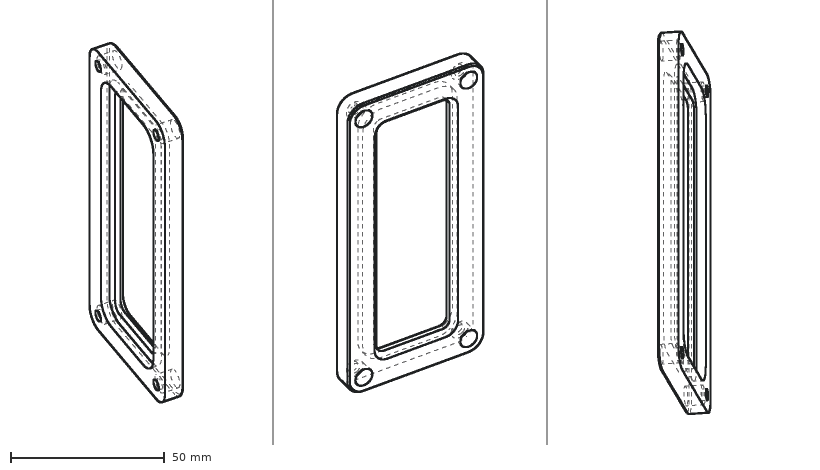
import cadquery as cq

width = 52.0
height = 117.0
thickness = 7.0
corner_radius = 6.0
back_chamfer = 0.6

recess_width = 36.0
recess_height = 101.1
recess_radius = 7.0
recess_depth = 3.0
ledge_width = 4.1
opening_width = recess_width - 2 * ledge_width
opening_height = recess_height - 2 * ledge_width
opening_radius = recess_radius - ledge_width
opening_chamfer = 2.0

hole_diameter = 3.7
hole_land = 1.3
counterbore_diameter = 6.4
hole_spacing_x = width - 2 * corner_radius
hole_spacing_z = height - 2 * corner_radius


def rounded_block(size_x, size_z, depth, radius):
    """Block centred on the Y axis, reaching from the front face (y = 0) towards +Y."""
    block = cq.Workplane("XY").box(size_x, depth, size_z).translate((0, depth / 2, 0))
    return block.edges("|Y").fillet(radius)


def corner_cylinders(diameter, start, end):
    """Four cylinders on the hole pattern, between two depths behind the front face."""
    return (
        cq.Workplane("XZ", origin=(0, start, 0))
        .rect(hole_spacing_x, hole_spacing_z, forConstruction=True)
        .vertices()
        .circle(diameter / 2)
        .extrude(start - end)
    )


plate = rounded_block(width, height, thickness, corner_radius)
plate = plate.faces(">Y").edges().chamfer(back_chamfer)

recess = rounded_block(recess_width, recess_height, recess_depth, recess_radius)
opening = rounded_block(opening_width, opening_height, thickness, opening_radius)
frame = plate.cut(recess).cut(opening)
frame = frame.faces(">Y").wires(cq.selectors.LengthNthSelector(0)).chamfer(opening_chamfer)

holes = corner_cylinders(hole_diameter, 0, thickness)
counterbores = corner_cylinders(counterbore_diameter, hole_land, thickness)

result = frame.cut(holes).cut(counterbores)